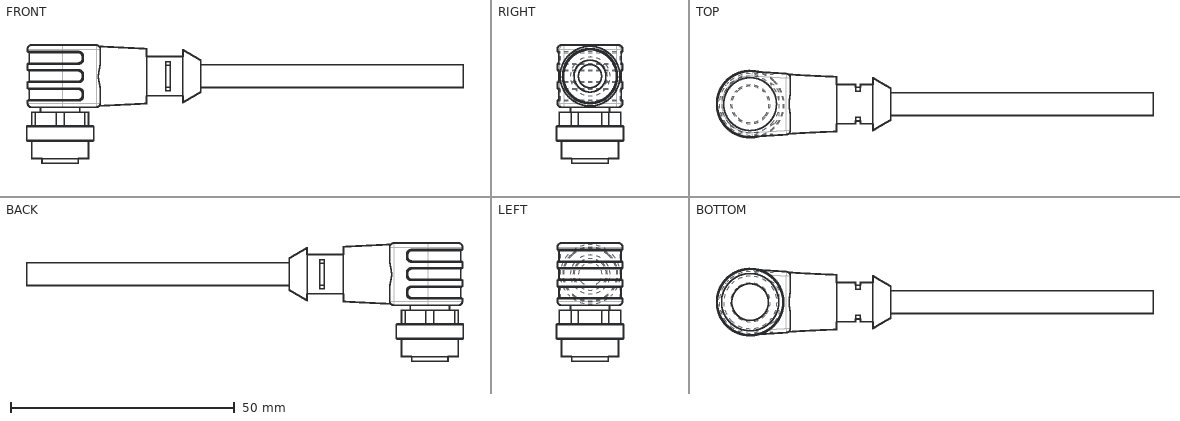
import cadquery as cq
import math

total_length = 97.55
total_height = 26.4

housing_diameter = 14.6
housing_radius = housing_diameter / 2
housing_height = 13.95
housing_end = 9.0
housing_fillet = 1.0
taper_degrees = 3.5
taper_angle = math.radians(taper_degrees)
recess_diameter = 11.8
recess_depth = 0.1

groove_count = 3
groove_pitch = 4.1
groove_mouth_width = 2.8
groove_floor_width = 2.3
groove_depth = 0.4
groove_wall_angle = math.degrees(math.atan2((groove_mouth_width - groove_floor_width) / 2, groove_depth))
groove_end = 4.8
groove_corner_radius = 1.2

hex_top_drop = 15.0
collar_top_drop = 18.0
barrel_top_drop = 21.5
barrel_bottom_drop = 25.4
plug_neck_diameter = 8.8
hex_across_flats = 12.8
hex_corner_diameter = 13.9
collar_diameter = 15.0
collar_chamfer = 0.2
barrel_diameter = 12.8
insert_diameter = 8.2

sleeve_start = 6.8
sleeve_end = 19.3
sleeve_end_diameter = 12.3
sleeve_taper = math.radians(2.8)
outlet_neck_diameter = 8.8
flare_start = 27.4
flare_end = 31.4
flare_large_diameter = 11.8
flare_small_diameter = 7.1
cable_diameter = 5.2
notch_position = 24.1
notch_width = 1.1
notch_depth = 1.5
notch_core_diameter = 7.6

housing_top = housing_height / 2
cable_end = total_length - collar_diameter / 2


def housing_block():
    """Round-nosed, tapering plan outline, extruded over the housing height."""
    tangent_x = housing_radius * math.sin(taper_angle)
    tangent_y = housing_radius * math.cos(taper_angle)
    end_y = tangent_y - (housing_end - tangent_x) * math.tan(taper_angle)
    return (
        cq.Workplane("XY")
        .workplane(offset=-housing_height / 2)
        .moveTo(housing_end, -end_y)
        .lineTo(tangent_x, -tangent_y)
        .threePointArc((-housing_radius, 0), (tangent_x, tangent_y))
        .lineTo(housing_end, end_y)
        .close()
        .extrude(housing_height)
    )


def groove_on_nose():
    """Groove with sloping walls around the round nose, from one tangent line to the other."""
    floor_radius = housing_radius - groove_depth
    sweep = 180 + 2 * taper_degrees
    section = [
        (floor_radius, -groove_floor_width / 2),
        (floor_radius, groove_floor_width / 2),
        (housing_radius, groove_mouth_width / 2),
        (housing_radius, -groove_mouth_width / 2),
    ]
    return (
        cq.Workplane("XZ")
        .polyline(section)
        .close()
        .revolve(sweep, (0, 0, 0), (0, 1, 0))
        .rotate((0, 0, 0), (0, 0, 1), 90 - taper_degrees)
    )


def groove_on_side():
    """Groove with sloping walls and a rounded end, sunk into the tapering -Y side."""
    outline = (
        cq.Sketch()
        .rect(2 * groove_end, groove_mouth_width)
        .vertices()
        .fillet(groove_corner_radius)
    )
    return (
        cq.Workplane("XZ", origin=(0, -housing_radius, 0))
        .placeSketch(outline)
        .extrude(-groove_depth, taper=groove_wall_angle)
        .rotate((0, 0, 0), (0, 0, 1), taper_degrees)
    )


def grip_groove():
    """One complete groove: round the nose and along both sides."""
    side = groove_on_side()
    return groove_on_nose().union(side).union(side.mirror("XZ"))


def housing():
    """Rounded housing with its grip grooves and a shallow round recess on top."""
    body = housing_block().faces("|Z or >X").edges().fillet(housing_fillet)
    recess = cq.Workplane("XY").workplane(offset=housing_top).circle(recess_diameter / 2).extrude(-recess_depth)
    for index in range(groove_count):
        height = (index - (groove_count - 1) / 2) * groove_pitch
        body = body.cut(grip_groove().translate((0, 0, height)))
    return body.cut(recess)


def plug_cylinder(diameter, top_drop, bottom_drop):
    """Cylinder on the plug axis between two drops below the housing top."""
    return (
        cq.Workplane("XY")
        .workplane(offset=housing_top - bottom_drop)
        .circle(diameter / 2)
        .extrude(bottom_drop - top_drop)
    )


def coupling_nut():
    """Hexagon with rounded corners above a collar and a round barrel."""
    hex_corners = plug_cylinder(hex_corner_diameter, hex_top_drop, collar_top_drop)
    hexagon = (
        cq.Workplane("XY")
        .workplane(offset=housing_top - collar_top_drop)
        .polygon(6, hex_across_flats, circumscribed=True)
        .extrude(collar_top_drop - hex_top_drop)
        .intersect(hex_corners)
    )
    collar = plug_cylinder(collar_diameter, collar_top_drop, barrel_top_drop).edges().chamfer(collar_chamfer)
    barrel = plug_cylinder(barrel_diameter, barrel_top_drop, barrel_bottom_drop)
    return hexagon.union(collar).union(barrel)


def plug_core():
    """Neck inside the housing and the contact insert that stands out of the barrel."""
    neck = plug_cylinder(plug_neck_diameter, housing_height / 2, hex_top_drop)
    insert = plug_cylinder(insert_diameter, barrel_bottom_drop, total_height)
    return neck.union(insert)


def neck_notch(side):
    """Cutter for a flat-bottomed notch across the neck that leaves the round core standing."""
    notch = (
        cq.Workplane("XY")
        .box(notch_width, 2 * notch_depth, outlet_neck_diameter)
        .translate((notch_position, side * outlet_neck_diameter / 2, 0))
    )
    core = (
        cq.Workplane("YZ")
        .workplane(offset=notch_position - notch_width / 2)
        .circle(notch_core_diameter / 2)
        .extrude(notch_width)
    )
    return notch.cut(core)


def cable_outlet():
    """Tapered sleeve, notched neck, flare and cable, turned about the cable axis."""
    sleeve_start_radius = sleeve_end_diameter / 2 + (sleeve_end - sleeve_start) * math.tan(sleeve_taper)
    outlet = (
        cq.Workplane("XZ")
        .moveTo(sleeve_start, 0)
        .lineTo(sleeve_start, sleeve_start_radius)
        .lineTo(sleeve_end, sleeve_end_diameter / 2)
        .lineTo(sleeve_end, outlet_neck_diameter / 2)
        .lineTo(flare_start, outlet_neck_diameter / 2)
        .lineTo(flare_start, flare_large_diameter / 2)
        .lineTo(flare_end, flare_small_diameter / 2)
        .lineTo(flare_end, cable_diameter / 2)
        .lineTo(cable_end, cable_diameter / 2)
        .lineTo(cable_end, 0)
        .close()
        .revolve(360, (0, 0, 0), (1, 0, 0))
    )
    for side in (-1, 1):
        outlet = outlet.cut(neck_notch(side))
    return outlet


result = housing().union(cable_outlet()).union(plug_core()).union(coupling_nut())